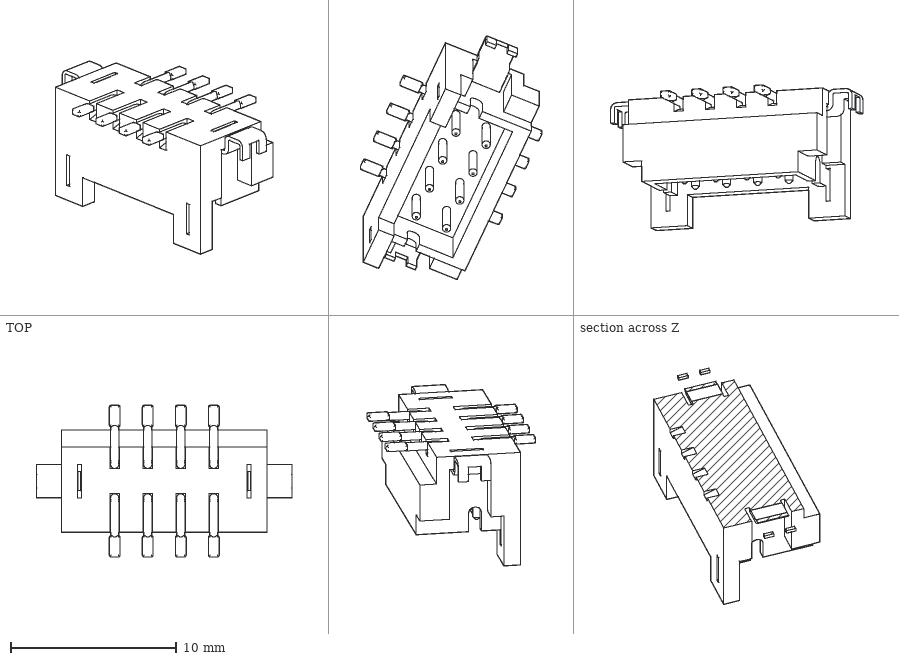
import cadquery as cq


length = 12.45
width = 6.2
height = 7.18
body_height = 5.27
leg_thickness = 1.02
leg_gap = 7.78
rear_step_depth = 1.02
rear_step_height = 1.7
front_y = -width / 2
rear_y = width / 2
leg_rear_y = front_y + leg_thickness

end_recess = 1.21
recess_front_y = -1.29
recess_rear_y = 1.27
recess_top = -0.84
recess_fillet = 0.15
strip_top = -4.0

cavity_wall = 1.02
cavity_end_wall = 0.5
cavity_top = -2.17
notch_width = 0.79
notch_y = -0.53
notch_top = -3.72

slit_bottom = -6.2
slit_height = 2.02

pins_per_row = 4
pitch = 2.0
row_y = pitch / 2
pin_diameter = 0.5
pin_top = -0.05
pin_bend_radius = 0.48
pin_bottom = -5.18
pin_tip_chamfer = 0.19
pin_reach = 4.6
head_length = 1.32
head_width = 0.67
head_height = 0.42
head_fillet = 0.14
head_overlap = 0.1

groove_width = 0.57
groove_depth_outer = 1.22
groove_depth_inner = 0.62

clip_reach = 7.75
clip_width = 2.02
sheet = 0.25
clip_top = 0.08
foot_bottom = -1.16
foot_slot_width = 0.8
foot_slot_top = -0.25
arch_outer_radius = 0.43
arch_inner_radius = 0.1
hook_thickness = 0.35
hook_width = 1.58
shelf_bottom = -1.22
shelf_outer_radius = 0.43
blade_top = -0.15
blade_end_chamfer = 0.43
blade_side_chamfer = 0.05


def block(x0, x1, y0, y1, z0, z1):
    """Box between two opposite corners."""
    return cq.Workplane("XY").box(x1 - x0, y1 - y0, z1 - z0, centered=False).translate((x0, y0, z0))


def both_ends(solid):
    """A feature of the -X end together with its mirror image at the +X end."""
    return solid.union(solid.mirror("YZ"))


def make_body():
    """Stepped housing with the front wall carried down into two legs."""
    end_x = length / 2
    profile = [
        (front_y, 0),
        (front_y, -height),
        (leg_rear_y, -height),
        (leg_rear_y, -body_height),
        (rear_y, -body_height),
        (rear_y, -rear_step_height),
        (rear_y - rear_step_depth, -rear_step_height),
        (rear_y - rear_step_depth, 0),
    ]
    body = cq.Workplane("YZ").polyline(profile).close().extrude(end_x, both=True)
    return body.cut(block(-leg_gap / 2, leg_gap / 2, front_y, leg_rear_y, -height, -body_height))


def make_end_openings():
    """Clip recess, open strip, blade slot and leg slit."""
    outer_x = -length / 2
    inner_x = outer_x + end_recess
    slot_x = inner_x - sheet
    recess = block(outer_x, inner_x, recess_front_y, recess_rear_y, -body_height, recess_top)
    recess = recess.edges(">X and >Z").fillet(recess_fillet)
    strip = block(outer_x, inner_x, leg_rear_y, rear_y, -body_height, strip_top)
    blade_slot = block(slot_x, inner_x, -clip_width / 2, clip_width / 2, recess_top - recess_fillet, 0)
    slit = block(slot_x, inner_x, front_y, leg_rear_y, slit_bottom, slit_bottom + slit_height)
    return both_ends(recess.union(strip).union(blade_slot).union(slit))


def make_socket():
    """Cavity open at the bottom, with a rounded notch through both end walls."""
    wall_x = length / 2 - end_recess
    cavity_x = wall_x - cavity_end_wall
    cavity_y = width / 2 - cavity_wall
    cavity = block(-cavity_x, cavity_x, -cavity_y, cavity_y, -body_height, cavity_top)
    radius = notch_width / 2
    notch = (
        cq.Workplane("YZ")
        .moveTo(notch_y - radius, -body_height)
        .lineTo(notch_y - radius, notch_top - radius)
        .threePointArc((notch_y, notch_top), (notch_y + radius, notch_top - radius))
        .lineTo(notch_y + radius, -body_height)
        .close()
        .extrude(wall_x, both=True)
    )
    return cavity.union(notch)


def make_groove():
    """Groove for a front pin, its floor falling from the pin towards the front face."""
    inner_y = -row_y + pin_diameter / 2
    slope_y = -row_y - pin_diameter / 2
    profile = [
        (inner_y, 0),
        (inner_y, -groove_depth_inner),
        (slope_y, -groove_depth_inner),
        (front_y, -groove_depth_outer),
        (front_y, 0),
    ]
    return cq.Workplane("YZ").polyline(profile).close().extrude(groove_width / 2, both=True)


def make_pin_head():
    """Flattened head rounded along every edge, the roundings meeting in mitred corners."""
    head_y = -pin_reach + head_length
    blank = block(-head_width / 2, head_width / 2, -pin_reach, head_y, pin_top - head_height, pin_top)
    head = blank
    for direction in ("|X", "|Y", "|Z"):
        head = head.intersect(blank.edges(direction).fillet(head_fillet))
    return head


def make_pin():
    """Front pin: round wire bent from vertical to horizontal, ending in a flattened head."""
    axis_z = pin_top - pin_diameter / 2
    upright = (
        cq.Workplane("XY", origin=(0, -row_y, pin_bottom))
        .circle(pin_diameter / 2)
        .extrude(axis_z - pin_bend_radius - pin_bottom)
        .faces("<Z")
        .chamfer(pin_tip_chamfer)
    )
    bend = (
        cq.Workplane("XY", origin=(0, -row_y, axis_z - pin_bend_radius))
        .circle(pin_diameter / 2)
        .revolve(90, (0, -pin_bend_radius, 0), (1, -pin_bend_radius, 0))
    )
    tail_y = -row_y - pin_bend_radius
    tail_end_y = -pin_reach + head_length - head_overlap
    tail = (
        cq.Workplane("XZ", origin=(0, tail_y, axis_z))
        .circle(pin_diameter / 2)
        .extrude(tail_y - tail_end_y)
    )
    return upright.union(bend).union(tail).union(make_pin_head())


def make_clip():
    """Clip of the -X end: slotted foot, arch, hook, shelf into the recess and blade up into the slot."""
    foot_x = -clip_reach
    foot_inner_x = foot_x + sheet
    hook_x = foot_x + hook_width
    hook_inner_x = hook_x - hook_thickness
    blade_x = -length / 2 + end_recess
    arch_spring = clip_top - arch_outer_radius
    arch_ceiling = clip_top - sheet
    inner_spring = arch_ceiling - arch_inner_radius
    shelf_top = shelf_bottom + sheet
    shelf_x = hook_inner_x + shelf_outer_radius
    strip = (
        cq.Workplane("XZ", origin=(0, clip_width / 2, 0))
        .moveTo(foot_x, foot_bottom)
        .lineTo(foot_x, arch_spring)
        .radiusArc((foot_x + arch_outer_radius, clip_top), arch_outer_radius)
        .lineTo(hook_x - arch_outer_radius, clip_top)
        .radiusArc((hook_x, arch_spring), arch_outer_radius)
        .lineTo(hook_x, shelf_top)
        .lineTo(blade_x - sheet, shelf_top)
        .lineTo(blade_x - sheet, blade_top)
        .lineTo(blade_x, blade_top)
        .lineTo(blade_x, shelf_bottom)
        .lineTo(shelf_x, shelf_bottom)
        .radiusArc((hook_inner_x, shelf_bottom + shelf_outer_radius), shelf_outer_radius)
        .lineTo(hook_inner_x, inner_spring)
        .radiusArc((hook_inner_x - arch_inner_radius, arch_ceiling), -arch_inner_radius)
        .lineTo(foot_inner_x + arch_inner_radius, arch_ceiling)
        .radiusArc((foot_inner_x, inner_spring), -arch_inner_radius)
        .lineTo(foot_inner_x, foot_bottom)
        .close()
        .extrude(clip_width)
    )
    blade_tip = cq.selectors.BoxSelector(
        (blade_x - 2 * sheet, -clip_width, blade_top - sheet / 2),
        (blade_x + sheet, clip_width, blade_top + sheet / 2),
    )
    strip = strip.edges(blade_tip).edges("|X").chamfer(blade_end_chamfer)
    strip = strip.edges(blade_tip).edges("|Y").chamfer(blade_side_chamfer)
    half_slot = foot_slot_width / 2
    return strip.cut(block(foot_x, foot_inner_x, -half_slot, half_slot, foot_bottom, foot_slot_top))


pin_places = [(i - (pins_per_row - 1) / 2) * pitch for i in range(pins_per_row)]
groove = make_groove()
pin = make_pin()

result = make_body().cut(make_end_openings()).cut(make_socket())
for x in pin_places:
    result = result.cut(groove.translate((x, 0, 0))).cut(groove.mirror("XZ").translate((x, 0, 0)))
for x in pin_places:
    result = result.union(pin.translate((x, 0, 0))).union(pin.mirror("XZ").translate((x, 0, 0)))
result = result.union(both_ends(make_clip()))